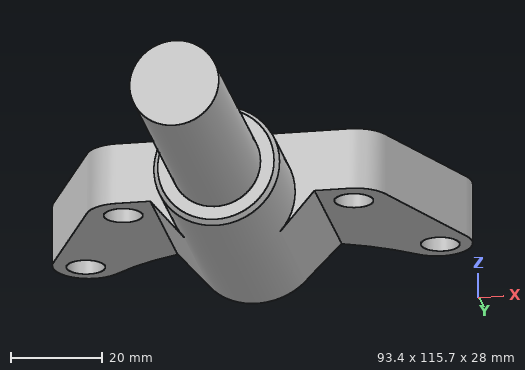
import cadquery as cq
import math

total_length = 115.7
plate_width = 93.4
plate_depth = 44.8
collar_radius = 14.0
plate_thickness = collar_radius
collar_length = 20.0
collar_chamfer = 1.0
shaft_radius = 10.0

corner_radius = 8.0
front_corner_x = 25.9
saddle_depth = 14.7

hole_diameter = 8.6
rear_hole_x = 39.5
rear_hole_inset = 7.3
front_hole_x = 25.7
front_hole_inset = 7.6

rib_half_width = 18.3

rear_y = plate_depth
collar_end_y = -collar_length
shaft_length = total_length - plate_depth - collar_length
rear_corner_x = plate_width / 2 - corner_radius
rear_corner_y = rear_y - corner_radius

saddle_y = rear_y - saddle_depth
rise = rear_corner_y - saddle_y
saddle_radius = (rear_corner_x**2 + rise**2 - corner_radius**2) / (2 * (rise + corner_radius))
saddle_center_y = saddle_y + saddle_radius


def make_outline_block():
    """Trapezoid with rounded corners and a rear saddle, as tall as plate and rib together."""
    front_corner_y = corner_radius

    side_dx = rear_corner_x - front_corner_x
    side_dy = rear_corner_y - front_corner_y
    side_angle = math.atan2(-side_dx, side_dy)

    saddle_rise = saddle_center_y - rear_corner_y
    saddle_angle = math.atan2(saddle_rise, -rear_corner_x)

    def corner_point(center_x, center_y, angle):
        return (
            center_x + corner_radius * math.cos(angle),
            center_y + corner_radius * math.sin(angle),
        )

    def mirrored(point):
        return (-point[0], point[1])

    front_angle = -math.pi / 2
    front_end = corner_point(front_corner_x, front_corner_y, front_angle)
    front_mid = corner_point(front_corner_x, front_corner_y, (front_angle + side_angle) / 2)
    side_front = corner_point(front_corner_x, front_corner_y, side_angle)
    side_rear = corner_point(rear_corner_x, rear_corner_y, side_angle)
    rear_mid = corner_point(rear_corner_x, rear_corner_y, (side_angle + saddle_angle) / 2)
    saddle_end = corner_point(rear_corner_x, rear_corner_y, saddle_angle)

    return (
        cq.Workplane("XY", origin=(0, 0, -collar_radius))
        .moveTo(*mirrored(front_end))
        .lineTo(*front_end)
        .threePointArc(front_mid, side_front)
        .lineTo(*side_rear)
        .threePointArc(rear_mid, saddle_end)
        .threePointArc((0, saddle_y), mirrored(saddle_end))
        .threePointArc(mirrored(rear_mid), mirrored(side_rear))
        .lineTo(*mirrored(side_front))
        .threePointArc(mirrored(front_mid), mirrored(front_end))
        .close()
        .extrude(plate_thickness + collar_radius)
    )


def make_holes():
    """Four round holes through the plate."""
    hole_centers = []
    for side in (-1, 1):
        hole_centers.append((side * rear_hole_x, rear_y - rear_hole_inset))
        hole_centers.append((side * front_hole_x, front_hole_inset))
    return cq.Workplane("XY").pushPoints(hole_centers).circle(hole_diameter / 2).extrude(plate_thickness)


def make_section():
    """Cross-section of plate and rib, extended along the full plate depth."""
    tangent_x = collar_radius**2 / rib_half_width
    tangent_z = -math.sqrt(collar_radius**2 - tangent_x**2)
    edge_x = plate_width / 2
    return (
        cq.Workplane("XZ")
        .moveTo(-edge_x, plate_thickness)
        .lineTo(-edge_x, 0)
        .lineTo(-rib_half_width, 0)
        .lineTo(-tangent_x, tangent_z)
        .threePointArc((0, -collar_radius), (tangent_x, tangent_z))
        .lineTo(rib_half_width, 0)
        .lineTo(edge_x, 0)
        .lineTo(edge_x, plate_thickness)
        .close()
        .extrude(-rear_y)
    )


def make_collar():
    """Round collar with a chamfered front end."""
    collar = cq.Workplane("XZ").circle(collar_radius).extrude(-collar_end_y)
    return collar.faces("<Y").chamfer(collar_chamfer)


def make_shaft():
    """Plain shaft running from the collar to its free end."""
    return cq.Workplane("XZ", origin=(0, collar_end_y, 0)).circle(shaft_radius).extrude(shaft_length)


body = make_outline_block().intersect(make_section()).cut(make_holes())
result = body.union(make_collar()).union(make_shaft())